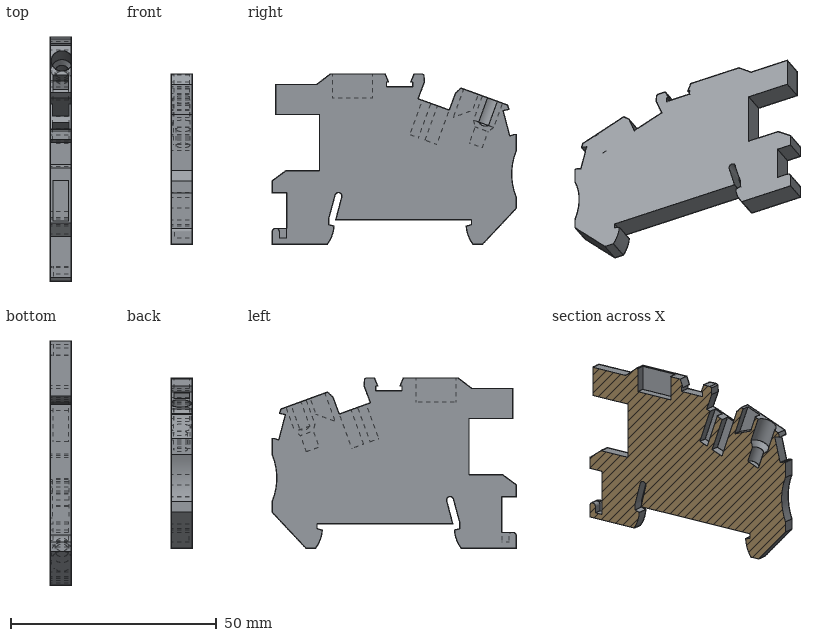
import cadquery as cq
import math

width = 5.2
length = 59.45
height = 41.5

foot_lip_height = 3.9
foot_lip_radius = 0.9
foot_hollow_floor = 1.55
foot_side_wall = 0.85
foot_slot_depth = 3.55
foot_slot_top = 12.55
foot_top = 17.95
foot_chamfer_y = 3.4
foot_chamfer_z = 2.5
plug_recess_y = 11.55
beam_bottom = 31.55
beam_top = 38.95
beam_end_y = 0.9
beam_ramp_start_y = 10.9
beam_ramp_end_y = 14.2

groove_centre_y = 31.05
groove_mouth_half = 3.5
groove_neck_half = 2.7
groove_floor_half = 3.15
groove_neck_z = 39.5
groove_floor_z = 38.4

finger_top_y = 36.55
finger_bevel_z = 41.2
finger_side_y = 37.0
finger_knee_y = 37.1
finger_knee_z = 39.55
finger_root_y = 35.55
finger_root_z = 35.45

slope = math.radians(20)
entry_high_y = 45.95
entry_high_z = 38.05
entry_low_y = 57.3
ledge_y = 43.1
ledge_z = 32.7
ledge_end_y = 36.55
step_height = 4.05

entry_lip_tip = (57.65, 32.8)
end_groove_top = (56.25, 32.5)
end_groove_bottom = (57.85, 26.4)
end_lip_y = 58.9
end_lip_z = 26.75
hollow_top_z = 22.8
hollow_bottom_z = 11.4
hollow_depth = 1.1
end_ramp_z = 8.8
end_ramp_y = 51.2

seat_z = 5.95
hook_root_z = 4.8
hook_tip_z = 4.45
hook_belly_z = 2.2
hook_root_gap = 34.7
hook_reach = 1.3
hook_belly_reach = 0.85
hook_foot_setback = 0.35
seat_centre_y = 31.15
root_far_y = seat_centre_y + hook_root_gap / 2
root_near_y = seat_centre_y - hook_root_gap / 2

slot_mouth_far_y = 15.45
slot_end_far = (16.95, 11.6)
slot_end_middle = (16.35, 12.55)
slot_end_near = (15.4, 12.1)
slot_mouth_near_z = 6.25

funnel_x = 0.3
funnel_y = 53.6
funnel_radius = 2.6
funnel_shoulder_depth = 6.3
funnel_neck_depth = 7.7
funnel_neck_radius = 1.65
funnel_depth = 11.9

release_width = 3.75
release_high_y = 46.6
release_low_y = 50.2
release_wall_depth = 4.15
ledge_pocket_width = 4.1
ledge_pocket_depth = 8.9
bridge_high_y = 38.65
bridge_low_y = 40.25
test_pocket_width = 3.8
test_pocket_start_y = 14.7
test_pocket_end_y = 24.5
test_pocket_depth = 5.95

foot_lip_inset = foot_lip_radius * (1 - math.sqrt(0.5))

clearance = 0.6


def entry_z(y):
    """Height of the sloping entry face at y."""
    return entry_high_z - (y - entry_high_y) * math.tan(slope)


def ledge_face_z(y):
    """Height of the sloping ledge, parallel to the entry face, at y."""
    return ledge_z + (ledge_y - y) * math.tan(slope)


def along_axis(y, z, depth):
    """Point reached by going depth into the part, square to the sloping faces."""
    return (y - depth * math.sin(slope), z - depth * math.cos(slope))


def prism(points, thickness):
    """Solid with a polygonal YZ section, centred on X = 0."""
    return cq.Workplane("YZ").polyline(points).close().extrude(thickness / 2, both=True)


def make_body():
    outline = (
        cq.Workplane("YZ")
        .moveTo(0, 0)
        .lineTo(0, foot_lip_height - foot_lip_radius)
        .threePointArc(
            (foot_lip_inset, foot_lip_height - foot_lip_inset),
            (foot_lip_radius, foot_lip_height),
        )
        .lineTo(foot_slot_depth, foot_lip_height)
        .lineTo(foot_slot_depth, foot_slot_top)
        .lineTo(0, foot_slot_top)
        .lineTo(0, foot_top - foot_chamfer_z)
        .lineTo(foot_chamfer_y, foot_top)
        .lineTo(plug_recess_y, foot_top)
        .lineTo(plug_recess_y, beam_bottom)
        .lineTo(beam_end_y, beam_bottom)
        .lineTo(beam_end_y, beam_top)
        .lineTo(beam_ramp_start_y, beam_top)
        .lineTo(beam_ramp_end_y, height)
        .lineTo(groove_centre_y - groove_mouth_half, height)
        .lineTo(groove_centre_y - groove_neck_half, groove_neck_z)
        .lineTo(groove_centre_y - groove_floor_half, groove_neck_z)
        .lineTo(groove_centre_y - groove_floor_half, groove_floor_z)
        .lineTo(groove_centre_y + groove_floor_half, groove_floor_z)
        .lineTo(groove_centre_y + groove_floor_half, groove_neck_z)
        .lineTo(groove_centre_y + groove_neck_half, groove_neck_z)
        .lineTo(groove_centre_y + groove_mouth_half, height)
        .lineTo(finger_top_y, height)
        .lineTo(finger_side_y, finger_bevel_z)
        .lineTo(finger_knee_y, finger_knee_z)
        .lineTo(finger_root_y, finger_root_z)
        .lineTo(ledge_end_y, ledge_face_z(ledge_end_y))
        .lineTo(ledge_y, ledge_z)
        .lineTo(ledge_y + step_height * math.tan(slope), ledge_z + step_height)
        .lineTo(entry_high_y, entry_high_z)
        .lineTo(entry_low_y, entry_z(entry_low_y))
        .lineTo(*entry_lip_tip)
        .lineTo(*end_groove_top)
        .lineTo(*end_groove_bottom)
        .lineTo(end_lip_y, end_lip_z)
        .lineTo(length, end_lip_z)
        .lineTo(length, hollow_top_z)
        .threePointArc(
            (length - hollow_depth, (hollow_top_z + hollow_bottom_z) / 2),
            (length, hollow_bottom_z),
        )
        .lineTo(length, end_ramp_z)
        .lineTo(end_ramp_y, 0)
        .lineTo(root_far_y + hook_foot_setback, 0)
        .threePointArc(
            (root_far_y - hook_belly_reach, hook_belly_z),
            (root_far_y - hook_reach, hook_tip_z),
        )
        .lineTo(root_far_y, hook_root_z)
        .lineTo(root_far_y, seat_z)
        .lineTo(slot_mouth_far_y, seat_z)
        .lineTo(*slot_end_far)
        .threePointArc(slot_end_middle, slot_end_near)
        .lineTo(root_near_y, slot_mouth_near_z)
        .lineTo(root_near_y, hook_root_z)
        .lineTo(root_near_y + hook_reach, hook_tip_z)
        .threePointArc(
            (root_near_y + hook_belly_reach, hook_belly_z),
            (root_near_y - hook_foot_setback, 0),
        )
        .close()
    )
    return outline.extrude(width / 2, both=True)


def make_funnel():
    """Wire hole, conical shoulder and narrow neck turned about one axis."""
    plane = cq.Plane(
        origin=(funnel_x, funnel_y, entry_z(funnel_y)),
        xDir=(1, 0, 0),
        normal=(0, -math.cos(slope), math.sin(slope)),
    )
    top = funnel_radius * math.tan(slope) + clearance
    half_section = [
        (0, top),
        (funnel_radius, top),
        (funnel_radius, -funnel_shoulder_depth),
        (funnel_neck_radius, -funnel_neck_depth),
        (funnel_neck_radius, -funnel_depth),
        (0, -funnel_depth),
    ]
    return cq.Workplane(plane).polyline(half_section).close().revolve(360, (0, 0), (0, 1))


def make_release_pocket():
    """Screwdriver pocket square to the entry face, its floor rising toward +Y."""
    high_z = entry_z(release_high_y)
    low_z = entry_z(release_low_y)
    floor_low = along_axis(release_low_y, low_z, release_wall_depth)
    mouth_length = (release_low_y - release_high_y) / math.cos(slope)
    floor_drop = mouth_length * math.tan(2 * slope)
    floor_high = along_axis(release_high_y, high_z, release_wall_depth + floor_drop)
    points = [
        along_axis(release_high_y, high_z, -clearance),
        along_axis(release_low_y, low_z, -clearance),
        floor_low,
        floor_high,
    ]
    return prism(points, release_width)


def make_ledge_pocket(high_y, low_y):
    """Deep pocket square to the ledge, between two places on its surface."""
    points = [
        (high_y, ledge_face_z(high_y)),
        (low_y, ledge_face_z(low_y)),
        along_axis(low_y, ledge_face_z(low_y), ledge_pocket_depth),
        along_axis(high_y, ledge_face_z(high_y), ledge_pocket_depth),
    ]
    return prism(points, ledge_pocket_width)


def make_foot_hollow():
    """Hollow behind the rounded foot lip, closed by a thin wall on -X and open on +X."""
    lip_back = 2 * foot_lip_radius
    lip_spring_z = foot_lip_height - foot_lip_radius
    section = (
        cq.Workplane("YZ", origin=(-width / 2 + foot_side_wall, 0, 0))
        .moveTo(foot_slot_depth, foot_hollow_floor)
        .lineTo(lip_back, foot_hollow_floor)
        .lineTo(lip_back, lip_spring_z)
        .threePointArc(
            (lip_back - foot_lip_inset, foot_lip_height - foot_lip_inset),
            (foot_lip_radius, foot_lip_height),
        )
        .lineTo(foot_slot_depth, foot_lip_height)
        .close()
    )
    return section.extrude(width)


def make_test_pocket():
    floor_z = height - test_pocket_depth
    points = [
        (test_pocket_start_y, height + clearance),
        (test_pocket_end_y, height + clearance),
        (test_pocket_end_y, floor_z),
        (test_pocket_start_y, floor_z),
    ]
    return prism(points, test_pocket_width)


result = (
    make_body()
    .cut(make_funnel())
    .cut(make_release_pocket())
    .cut(make_ledge_pocket(bridge_low_y, ledge_y))
    .cut(make_ledge_pocket(ledge_end_y, bridge_high_y))
    .cut(make_test_pocket())
    .cut(make_foot_hollow())
)